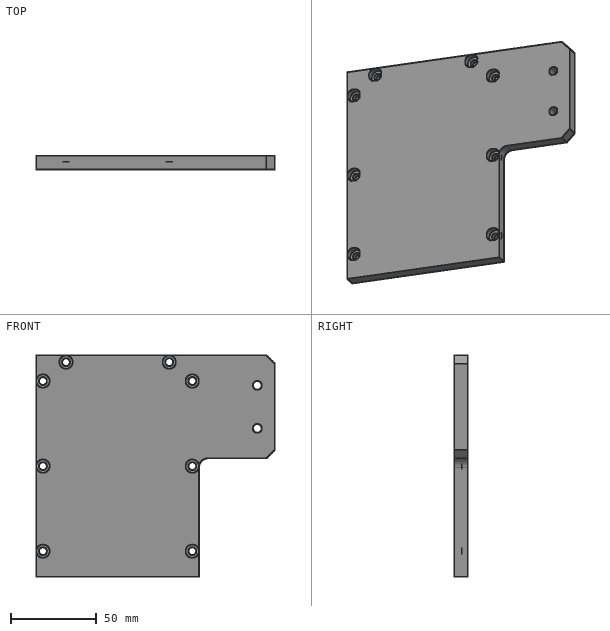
import cadquery as cq

total_width = 139.0
height = 129.0
thickness = 8.0
body_width = 95.0
tab_height = 60.0
tab_chamfer = 5.0
inner_corner_radius = 5.0

screw_diameter = 4.5
counterbore_diameter = 7.8
counterbore_depth = 4.5
screw_edge_offset = 4.0
top_screw_spacing = 60.0
side_screw_pitch = 49.5
first_side_screw_drop = 15.0
side_screw_rows = 3

tab_hole_diameter = 5.0
tab_hole_spacing = 25.0
tab_hole_edge_offset = 10.3

tab_bottom = height - tab_height


def make_plate():
    """L-shaped plate with its front face at Y = 0 and its back at Y = thickness."""
    plate = (
        cq.Workplane("XZ")
        .moveTo(0, 0)
        .lineTo(body_width, 0)
        .lineTo(body_width, tab_bottom)
        .lineTo(total_width, tab_bottom)
        .lineTo(total_width, height)
        .lineTo(0, height)
        .close()
        .extrude(-thickness)
    )
    middle = thickness / 2
    inner_corner = cq.selectors.NearestToPointSelector((body_width, middle, tab_bottom))
    plate = plate.edges("|Y").edges(inner_corner).fillet(inner_corner_radius)
    return plate.edges("|Y and >X").chamfer(tab_chamfer)


def screw_points():
    """Screw centres: two along the top edge and a column along each side of the body."""
    body_center = body_width / 2
    top_z = height - screw_edge_offset
    points = [(body_center + side * top_screw_spacing / 2, top_z) for side in (-1, 1)]
    for row in range(side_screw_rows):
        z = height - first_side_screw_drop - row * side_screw_pitch
        points.append((screw_edge_offset, z))
        points.append((body_width - screw_edge_offset, z))
    return points


def tab_hole_points():
    """Two holes centred on the tab height, near its outer end."""
    x = total_width - tab_hole_edge_offset
    tab_center = tab_bottom + tab_height / 2
    return [(x, tab_center + side * tab_hole_spacing / 2) for side in (-1, 1)]


def drill(points, diameter, depth):
    """Cylinders running back from the front face."""
    return cq.Workplane("XZ").pushPoints(points).circle(diameter / 2).extrude(-depth)


result = (
    make_plate()
    .cut(drill(screw_points(), screw_diameter, thickness))
    .cut(drill(screw_points(), counterbore_diameter, counterbore_depth))
    .cut(drill(tab_hole_points(), tab_hole_diameter, thickness))
)